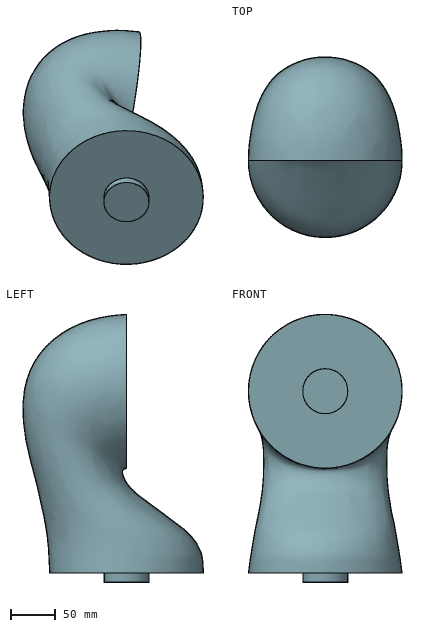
import cadquery as cq
import math

HEIGHT = 298.0
END_DIAMETER = 171.0
END_RADIUS = END_DIAMETER / 2
PEG_DIAMETER = 50.0
PEG_LENGTH = 10.0
SOCKET_DEPTH = PEG_LENGTH
FOOT_Z = PEG_LENGTH
FACE_CENTER_Z = HEIGHT - END_RADIUS

FOOT_SECTION = ((-END_RADIUS, FOOT_Z), (END_RADIUS, FOOT_Z), END_RADIUS)
NECK_SECTIONS = [
    ((-83.7, 29.8), (86.5, 29.8), 82.8),
    ((-66.7, 56.3), (89.5, 59.5), 78.0),
    ((-29.8, 84.0), (94.7, 86.5), 72.7),
    ((-7.1, 102.2), (101.0, 113.2), 69.5),
    ((2.7, 115.5), (110.2, 149.0), 68.5),
    ((4.5, 121.5), (115.3, 192.2), 69.7),
    ((4.2, 124.0), (107.8, 234.0), 74.5),
    ((3.0, 125.5), (74.5, 275.0), 81.0),
    ((1.5, 126.3), (32.8, 293.5), 84.5),
]
FACE_SECTION = ((0, HEIGHT - END_DIAMETER), (0, HEIGHT), END_RADIUS)


def section_wire(front, back, half_width):
    """Ellipse across the body, with one axis from front to back and the other along X."""
    dy = back[0] - front[0]
    dz = back[1] - front[1]
    center = cq.Vector(0, (front[0] + back[0]) / 2, (front[1] + back[1]) / 2)
    plane = cq.Plane(origin=center, xDir=(0, dy, dz), normal=(0, -dz, dy))
    half_depth = math.hypot(dy, dz) / 2
    points = []
    point_count = 16
    for i in range(point_count):
        angle = 2 * math.pi * i / point_count
        points.append(plane.toWorldCoords((half_depth * math.cos(angle), half_width * math.sin(angle))))
    return cq.Wire.assembleEdges([cq.Edge.makeSpline(points, periodic=True)])


def bent_body():
    """Smooth solid turning from the upright foot to the forward-facing flat."""
    sections = [FOOT_SECTION, *NECK_SECTIONS, FACE_SECTION]
    wires = [section_wire(*section) for section in sections]
    return cq.Workplane(cq.Solid.makeLoft(wires))


def peg():
    """Round peg under the centre of the foot."""
    return cq.Workplane("XY").circle(PEG_DIAMETER / 2).extrude(PEG_LENGTH)


def socket():
    """Round blind hole in the centre of the flat face, the same size as the peg."""
    face = cq.Workplane("XZ", origin=(0, 0, FACE_CENTER_Z))
    return face.circle(PEG_DIAMETER / 2).extrude(-SOCKET_DEPTH)


result = bent_body().union(peg()).cut(socket())